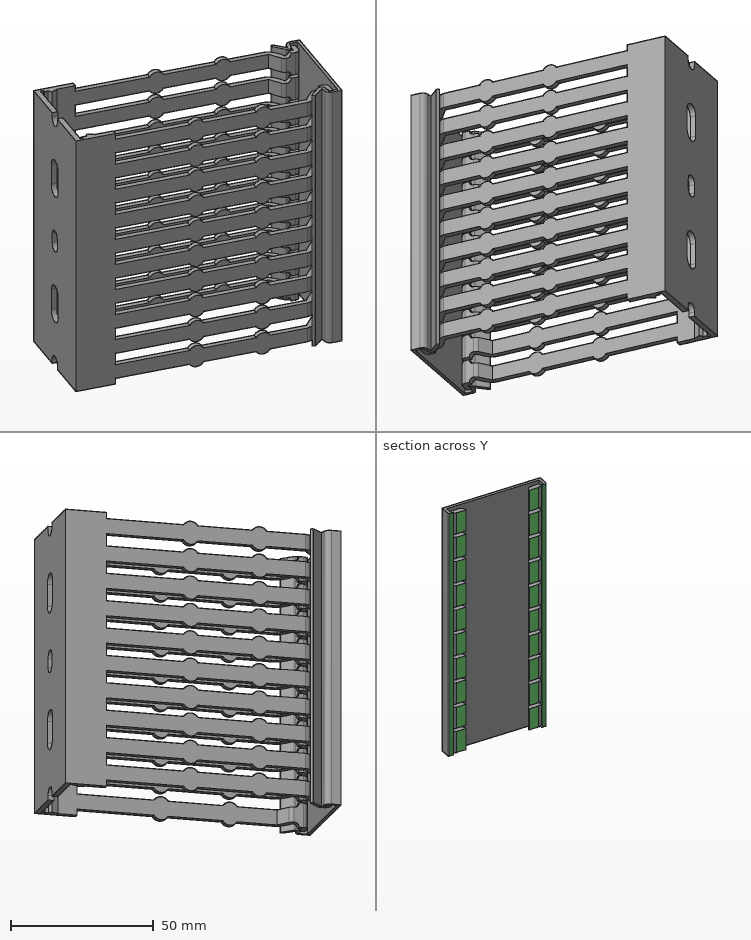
import cadquery as cq
import math

width = 40.0
depth = 100.5
length = 100.0
half_width = width / 2
half_length = length / 2

wall = 2.1
solid_wall_top = 15.0
groove_floor = 1.2
groove_top = 3.2
ridge_bottom = 4.6
ridge_tip_y = 5.5
ridge_top = 8.0
ridge_tip = 3.4

finger_count = 10
finger_pitch = length / finger_count
finger_height = 5.5
head_height = 8.8
head_start = 94.5
flare_radius = (head_height - finger_height) / 2
bulge_centers = (45.6, 70.8)
bulge_chord = 5.2
bulge_height = 8.4

cover_wall = 1.2
lip_corner_y = 95.1
lip_corner_radius = 2.2
lip_notch_x = 3.7
lip_notch_y = 94.5
lip_end_top = 90.5
lip_end_bottom = 88.6
lip_end_radius = 0.6
lip_inner_corner_y = 96.3
lip_apex_x = 4.9
lip_apex_y = 95.5
lip_apex_radius = 0.6

outer_bend_y = 87.5
outer_bend_end_x = 0.5
outer_bend_radius = 1.5
inner_bend_y = 87.9
lip_contact_x = 2.6
neck_inner_x = 7.1
neck_inner_y = 91.8
neck_radius = 2.0
neck_outer_x = neck_inner_x - wall
neck_outer_y = 92.9
hook_top = 98.0
hook_underside = 96.1
hook_radius = 1.9
hook_tip_x = 1.9
hook_tip_radius = 0.5
hook_tip_bottom = 96.4
hook_bevel_x = 3.2

large_slot_width = 6.4
large_slot_length = 14.4
large_slot_offset = length / 4
small_slot_width = 4.8
small_slot_length = 8.1


def lip_face_y(x):
    """Y of the inner face of the cover lip, which slopes at 45 degrees."""
    return lip_end_bottom + x


def line_or_move(outline, point):
    """Continue the outline to a point, or start it there."""
    if outline is None:
        return cq.Workplane("XY").moveTo(point.x, point.y)
    return outline.lineTo(point.x, point.y)


def rounded_outline(points):
    """Closed XY outline; each point is (x, y, corner radius)."""
    outline = None
    count = len(points)
    for index, (x, y, radius) in enumerate(points):
        corner = cq.Vector(x, y)
        if radius:
            before = (cq.Vector(*points[index - 1][:2]) - corner).normalized()
            after = (cq.Vector(*points[(index + 1) % count][:2]) - corner).normalized()
            half_angle = before.getAngle(after) / 2
            setback = radius / math.tan(half_angle)
            to_middle = radius / math.sin(half_angle) - radius
            start = corner + before * setback
            middle = corner + (before + after).normalized() * to_middle
            end = corner + after * setback
            outline = line_or_move(outline, start)
            outline = outline.threePointArc((middle.x, middle.y), (end.x, end.y))
        else:
            outline = line_or_move(outline, corner)
    return outline.close()


def mirrored(left_half):
    """Full outline from its left half, given as (distance from the outer face, y, radius)."""
    left = [(inset - half_width, y, radius) for inset, y, radius in left_half]
    right = [(-x, y, radius) for x, y, radius in reversed(left)]
    return left + right


def extruded(points):
    """Prism of an XY outline over the full length, centered on Z = 0."""
    return rounded_outline(points).extrude(length).translate((0, 0, -half_length))


def duct_channel():
    """Duct before its walls are split into fingers."""
    left_half = [
        (groove_floor, wall, 0),
        (groove_floor, groove_top, 0),
        (wall, groove_top, 0),
        (wall, ridge_bottom, 0),
        (ridge_tip, ridge_tip_y, 0),
        (wall, ridge_top, 0),
        (wall, inner_bend_y, 0),
        (neck_inner_x, neck_inner_y, neck_radius),
        (neck_inner_x, hook_top, hook_radius),
        (hook_tip_x, hook_top, hook_tip_radius),
        (hook_tip_x, hook_tip_bottom, 0),
        (hook_bevel_x, hook_underside, 0),
        (neck_outer_x, hook_underside, 0),
        (neck_outer_x, neck_outer_y, 0),
        (lip_contact_x, lip_face_y(lip_contact_x), 0),
        (outer_bend_end_x, lip_face_y(outer_bend_end_x), outer_bend_radius),
        (0, outer_bend_y, 0),
        (0, 0, 0),
    ]
    return extruded(mirrored(left_half))


def finger_outline(center_z):
    """Side outline of one finger, in the YZ plane."""
    half_finger = finger_height / 2
    half_head = head_height / 2
    half_bulge = bulge_height / 2
    half_chord = bulge_chord / 2
    flare_start = head_start - flare_radius
    arc_mid = flare_radius * math.sqrt(0.5)
    root = solid_wall_top - wall

    outline = cq.Workplane("YZ").moveTo(root, center_z + half_finger)
    for y in bulge_centers:
        outline = outline.lineTo(y - half_chord, center_z + half_finger).threePointArc(
            (y, center_z + half_bulge), (y + half_chord, center_z + half_finger)
        )
    outline = (
        outline.lineTo(flare_start, center_z + half_finger)
        .threePointArc(
            (flare_start + arc_mid, center_z + half_head - arc_mid),
            (head_start, center_z + half_head),
        )
        .lineTo(depth, center_z + half_head)
        .lineTo(depth, center_z - half_head)
        .lineTo(head_start, center_z - half_head)
        .threePointArc(
            (flare_start + arc_mid, center_z - half_head + arc_mid),
            (flare_start, center_z - half_finger),
        )
    )
    for y in reversed(bulge_centers):
        outline = outline.lineTo(y + half_chord, center_z - half_finger).threePointArc(
            (y, center_z - half_bulge), (y - half_chord, center_z - half_finger)
        )
    return outline.lineTo(root, center_z - half_finger).close()


def base_slot(slot_width, slot_length, center_z):
    """Round-ended slot through the base, long along Z."""
    return (
        cq.Workplane("XZ")
        .center(0, center_z)
        .slot2D(slot_length, slot_width, 90)
        .extrude(-wall)
    )


def make_duct():
    """Slotted duct: solid base channel with a row of hooked fingers on each side."""
    kept = cq.Workplane("XY").box(width, solid_wall_top, length, centered=(True, False, True))
    for index in range(finger_count):
        center_z = (index + 0.5) * finger_pitch - half_length
        kept = kept.union(finger_outline(center_z).extrude(half_width, both=True))
    duct = duct_channel().intersect(kept)
    for center_z in (-large_slot_offset, large_slot_offset):
        duct = duct.cut(base_slot(large_slot_width, large_slot_length, center_z))
    for center_z in (-half_length, 0, half_length):
        duct = duct.cut(base_slot(small_slot_width, small_slot_length, center_z))
    return duct.solids()


def make_cover():
    """Snap-on cover whose V-shaped lips clip under the finger hooks."""
    left_half = [
        (cover_wall, depth - cover_wall, 0),
        (cover_wall, lip_inner_corner_y, 0),
        (lip_apex_x, lip_apex_y, lip_apex_radius),
        (lip_apex_x, lip_face_y(lip_apex_x), lip_apex_radius),
        (0, lip_end_bottom, lip_end_radius),
        (0, lip_end_top, 0),
        (lip_notch_x, lip_notch_y, 0),
        (0, lip_corner_y, lip_corner_radius),
        (0, depth, 0),
    ]
    return extruded(mirrored(left_half))


duct = make_duct()
cover = make_cover()
result = cq.Compound.makeCompound([duct.val(), cover.val()])